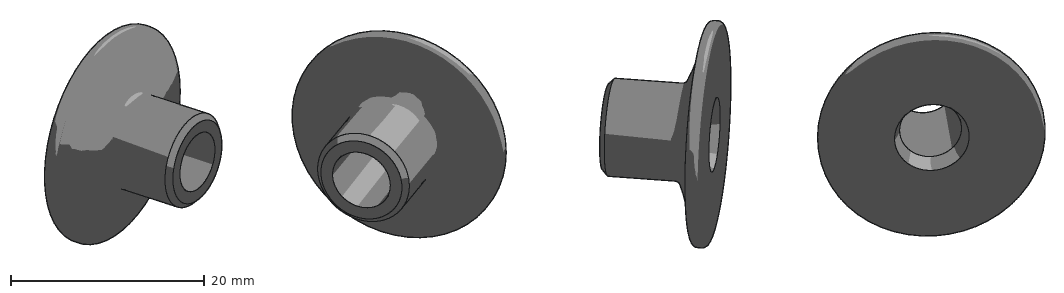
import cadquery as cq
import math

flange_radius = 11.8
rim_thickness = 1.4
rim_round = 0.5

hub_radius = 5.1
total_length = 11.35
hub_chamfer = 0.6

flare_mid_x = 2.25
flare_mid_radius = 7.55
root_fillet = 0.8
root_end_x = 3.8
root_turn = math.radians(61.3)

bore_radius = 3.21
mouth_radius = 3.87
mouth_depth = 1.8


def on_root_fillet(turn):
    """Point on the root fillet, at an angle back from its tangent point on the hub."""
    x = root_end_x - root_fillet * math.sin(turn)
    radius = hub_radius + root_fillet * (1 - math.cos(turn))
    return x, radius


round_inset = rim_round * (1 - math.sqrt(0.5))
rim_side_radius = flange_radius - rim_round

profile = (
    cq.Workplane("XY")
    .moveTo(0, mouth_radius)
    .lineTo(0, rim_side_radius)
    .threePointArc((round_inset, flange_radius - round_inset), (rim_round, flange_radius))
    .lineTo(rim_thickness - rim_round, flange_radius)
    .threePointArc(
        (rim_thickness - round_inset, flange_radius - round_inset),
        (rim_thickness, rim_side_radius),
    )
    .threePointArc((flare_mid_x, flare_mid_radius), on_root_fillet(root_turn))
    .threePointArc(on_root_fillet(root_turn / 2), (root_end_x, hub_radius))
    .lineTo(total_length - hub_chamfer, hub_radius)
    .lineTo(total_length, hub_radius - hub_chamfer)
    .lineTo(total_length, bore_radius)
    .lineTo(mouth_depth, bore_radius)
    .close()
)

result = profile.revolve(360, (0, 0, 0), (1, 0, 0))